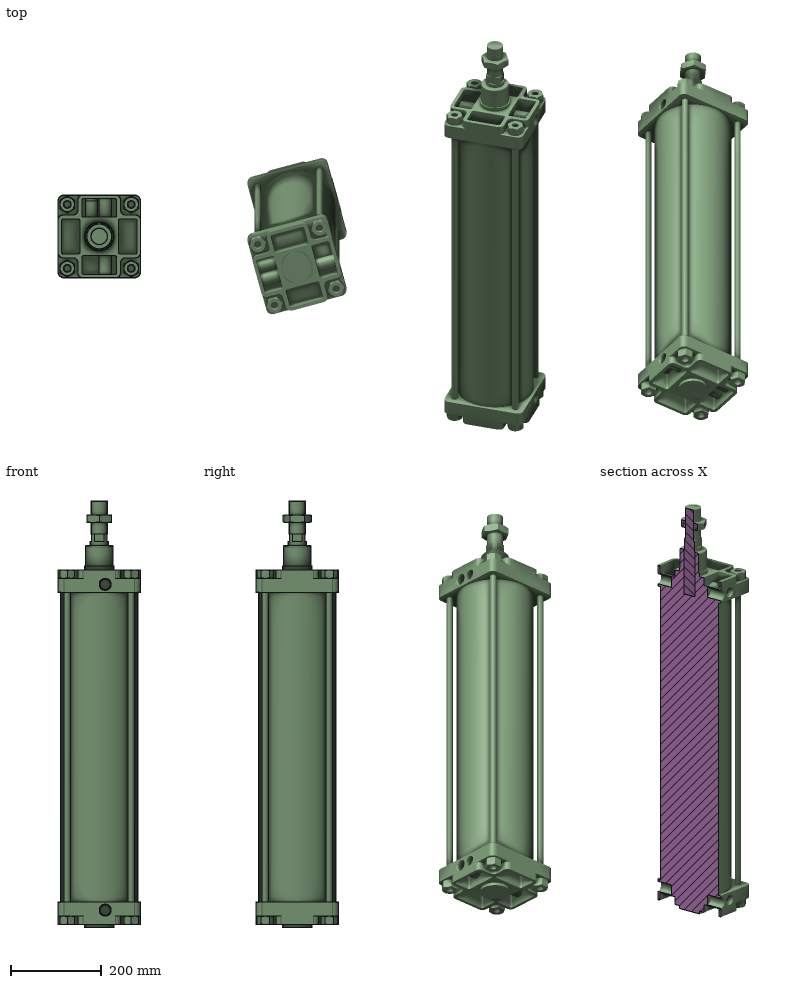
import cadquery as cq
import math

total_height = 938.0
cap_width = 182.0
cap_height = 50.0
cap_corner_radius = 13.0
collar_diameter = 65.0
lower_collar_height = 7.0
upper_collar_height = 8.0
upper_cap_top = 787.0
tube_diameter = 170.0

tie_rod_offset = 70.0
tie_rod_diameter = 14.0
tie_nut_flats = 32.0
tie_nut_hole_diameter = 15.0
tie_nut_hole_chamfer = 1.0
tie_nut_hole_depth = 14.0
tie_nut_chamfer = 2.0

recess_depth = 19.0
recess_inner_offset = 47.0
recess_radius = 11.0

pocket_inner = 42.0
pocket_outer = 83.5
pocket_half_width = 38.0
pocket_depth = 42.0
pocket_corner_radius = 5.0

port_x = 13.0
port_below_face = 32.0
port_diameter = 22.5
port_chamfer = 2.0
port_depth = 38.0
port_boss_diameter = 28.0
rear_boss_x = -17.0
rear_boss_diameter = 26.0
rear_hole_diameter = 22.5
rear_hole_depth = 13.0

guide_diameter = 61.0
guide_top = 840.0
guide_edge_radius = 3.0

rod_diameter = 40.0
thread_diameter = 36.0
thread_start = 866.0
wrench_flats = 35.0
wrench_flats_start = 849.0

rod_nut_flats = 54.0
rod_nut_bottom = 891.0
rod_nut_top = 908.0
rod_nut_chamfer = 2.0

upper_cap_bottom = upper_cap_top - cap_height
lower_cap_bottom = lower_collar_height
lower_cap_top = lower_cap_bottom + cap_height
upper_collar_top = upper_cap_top + upper_collar_height
middle_height = (upper_cap_top + lower_cap_bottom) / 2
corner_signs = [(-1, -1), (-1, 1), (1, -1), (1, 1)]


def cylinder(diameter, bottom, top, x=0, y=0):
    """Upright cylinder between two levels."""
    return cq.Workplane("XY", origin=(x, y, bottom)).circle(diameter / 2).extrude(top - bottom)


def hex_prism(flats, bottom, top, chamfer):
    """Upright hexagonal prism with flats facing +X and -X and corners chamfered at both ends."""
    corner_diameter = flats / math.cos(math.pi / 6)
    height = top - bottom
    prism = (
        cq.Workplane("XY", origin=(0, 0, bottom))
        .polygon(6, corner_diameter)
        .extrude(height)
        .rotate((0, 0, 0), (0, 0, 1), 30)
    )
    chamfer_width = (corner_diameter - flats) / 2
    blank = cylinder(corner_diameter, bottom, top).faces("<Z or >Z").edges().chamfer(chamfer, chamfer_width)
    return prism.intersect(blank)


def cap_pocket(angle):
    """Rectangular pocket on one side of the upper cap, turned about Z from the +X side."""
    pocket = (
        cq.Workplane("XY", origin=((pocket_inner + pocket_outer) / 2, 0, upper_cap_top - pocket_depth))
        .rect(pocket_outer - pocket_inner, 2 * pocket_half_width)
        .extrude(pocket_depth)
        .edges("|Z")
        .fillet(pocket_corner_radius)
    )
    return pocket.rotate((0, 0, 0), (0, 0, 1), angle)


def cross_cylinder(diameter, x, start_y, end_y):
    """Cylinder along Y at the level of the ports."""
    plane = cq.Plane(origin=(x, start_y, upper_cap_top - port_below_face), xDir=(1, 0, 0), normal=(0, 1, 0))
    return cq.Workplane(plane).circle(diameter / 2).extrude(end_y - start_y)


def raised_cross():
    """Cross-shaped raised part of the cap, left standing between the four corner recesses."""
    level = upper_cap_top - recess_depth
    plane = cq.Workplane("XY", origin=(0, 0, level))
    arm_along_x = plane.rect(cap_width, 2 * recess_inner_offset).extrude(recess_depth)
    arm_along_y = plane.rect(2 * recess_inner_offset, cap_width).extrude(recess_depth)
    cross = arm_along_x.union(arm_along_y)
    return cross.edges("|Z").fillet(recess_radius)


def tie_nut():
    """Hexagonal tie-rod nut on the Z axis, filling the recess depth, with a chamfered blind hole."""
    hole_floor = upper_cap_top - tie_nut_hole_depth
    nut = hex_prism(tie_nut_flats, upper_cap_top - recess_depth, upper_cap_top, tie_nut_chamfer)
    nut = nut.cut(cylinder(tie_nut_hole_diameter, hole_floor, upper_cap_top))
    smallest_circle = cq.selectors.RadiusNthSelector(0)
    return nut.faces(">Z").edges(smallest_circle).chamfer(tie_nut_hole_chamfer)


def port_bore():
    """Blind bore of the port in the -Y face, widened by a chamfer at its mouth."""
    side_face = -cap_width / 2
    bore = cross_cylinder(port_diameter, port_x, side_face, side_face + port_depth)
    mouth_center = cq.Vector(port_x, side_face, upper_cap_top - port_below_face)
    mouth = cq.Solid.makeCone(
        port_diameter / 2 + port_chamfer,
        port_diameter / 2,
        port_chamfer,
        pnt=mouth_center,
        dir=cq.Vector(0, 1, 0),
    )
    return bore.union(cq.Workplane(mouth))


def upper_cap():
    """Square cap with raised cross, pockets, ports and tie-rod nuts."""
    base_height = cap_height - recess_depth
    cap = (
        cq.Workplane("XY", origin=(0, 0, upper_cap_bottom))
        .rect(cap_width, cap_width)
        .extrude(base_height)
        .edges("|Z")
        .fillet(cap_corner_radius)
        .union(raised_cross())
    )
    for angle in (0, 90, 180, 270):
        cap = cap.cut(cap_pocket(angle))
    cap = cap.union(cross_cylinder(port_boss_diameter, port_x, -pocket_outer, -pocket_inner))
    cap = cap.union(cross_cylinder(port_boss_diameter, port_x, pocket_inner, pocket_outer))
    cap = cap.union(cross_cylinder(rear_boss_diameter, rear_boss_x, pocket_inner, pocket_outer))
    cap = cap.cut(port_bore()).cut(port_bore().mirror("XZ"))
    side_face = cap_width / 2
    cap = cap.cut(cross_cylinder(rear_hole_diameter, rear_boss_x, side_face - rear_hole_depth, side_face))
    nut = tie_nut()
    for sign_x, sign_y in corner_signs:
        cap = cap.union(nut.translate((sign_x * tie_rod_offset, sign_y * tie_rod_offset, 0)))
    return cap


def build_housing():
    """Both caps, tube, tie rods and rod guide as one solid, bored for the piston rod."""
    top_cap = upper_cap()
    bottom_cap = top_cap.mirror("XY", (0, 0, middle_height))
    housing = cylinder(tube_diameter, lower_cap_top, upper_cap_bottom).union(top_cap).union(bottom_cap)
    for sign_x, sign_y in corner_signs:
        x = sign_x * tie_rod_offset
        y = sign_y * tie_rod_offset
        housing = housing.union(cylinder(tie_rod_diameter, lower_cap_top, upper_cap_bottom, x, y))
    guide = cylinder(guide_diameter, upper_cap_top, guide_top).faces(">Z").edges().fillet(guide_edge_radius)
    housing = housing.union(cylinder(collar_diameter, 0, lower_cap_bottom))
    housing = housing.union(cylinder(collar_diameter, upper_cap_top, upper_collar_top))
    housing = housing.union(guide)
    return housing.cut(cylinder(rod_diameter, upper_cap_bottom, guide_top))


def build_piston_rod():
    """Rod with four wrench flats and a thinner threaded end."""
    rod = cylinder(rod_diameter, upper_cap_bottom, wrench_flats_start)
    flats_height = thread_start - wrench_flats_start
    flats = (
        cq.Workplane("XY", origin=(0, 0, wrench_flats_start))
        .rect(wrench_flats, wrench_flats)
        .extrude(flats_height)
        .intersect(cylinder(rod_diameter, wrench_flats_start, thread_start))
    )
    return rod.union(flats).union(cylinder(thread_diameter, thread_start, total_height))


def build_rod_nut():
    """Hexagonal lock nut on the threaded end."""
    nut = hex_prism(rod_nut_flats, rod_nut_bottom, rod_nut_top, rod_nut_chamfer)
    return nut.cut(cylinder(thread_diameter, rod_nut_bottom, rod_nut_top))


housing = build_housing()
piston_rod = build_piston_rod()
rod_nut = build_rod_nut()
result = cq.Compound.makeCompound([housing.val(), piston_rod.val(), rod_nut.val()])